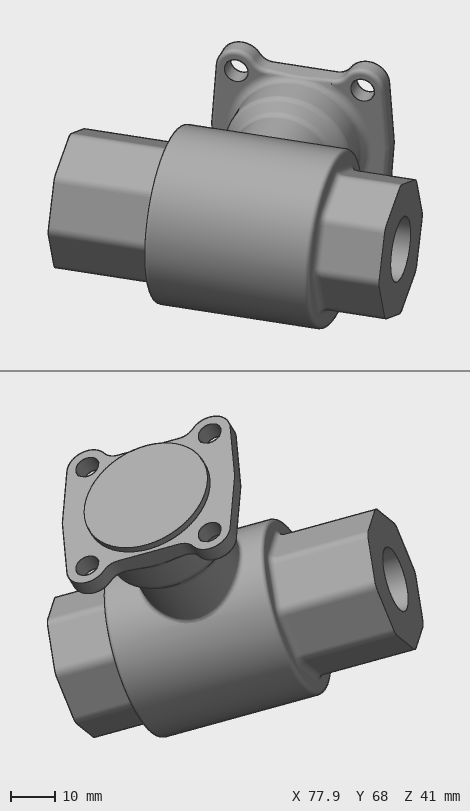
import cadquery as cq
import math


tolerance = 0.01

total_length = 77.9
left_end = -41.1
right_end = left_end + total_length
barrel_left = -17.4
barrel_right = 21.6
barrel_diameter = 41.0
barrel_edge_round = 1.0
bore_diameter = 15.0

octagon_sides = 8
octagon_across_flats = 30.7
octagon_corner_round = 6.0 / 2
octagon_root_fillet = 1.5

top_y = 47.5
stem_radius = 24.0 / 2
head_radius = 30.0 / 2
cone_top_y = 32.5
cone_bottom_y = cone_top_y - (head_radius - stem_radius)
stem_fillet = 2.0
stem_root_fillet = 1.0

flange_top_y = 45.95
flange_thickness = 4.5
flange_bottom_y = flange_top_y - flange_thickness
flange_edge_round = 1.0
bolt_offset = 14.9
bolt_hole_diameter = 5.5
lobe_radius = 5.0
notch_radius = 4.0
flat_z = 16.0
side_apex_x = 20.95


def barrel():
    """Central cylinder with rounded rims."""
    return (
        cq.Workplane("YZ", origin=(barrel_left, 0, 0))
        .circle(barrel_diameter / 2)
        .extrude(barrel_right - barrel_left)
        .edges("%CIRCLE")
        .fillet(barrel_edge_round)
    )


def octagon_end(start_x, end_x):
    """Octagonal prism with rounded corners, one corner pointing up."""
    across_corners = octagon_across_flats / math.cos(math.pi / octagon_sides)
    return (
        cq.Workplane("YZ", origin=(start_x, 0, 0))
        .polygon(octagon_sides, across_corners)
        .extrude(end_x - start_x)
        .edges("|X")
        .fillet(octagon_corner_round)
    )


def run_body():
    """Barrel with both octagonal ends, filleted where they meet."""
    body = barrel()
    body = body.union(octagon_end(left_end, barrel_left))
    body = body.union(octagon_end(barrel_right, right_end))
    rim_radius = barrel_diameter / 2 - barrel_edge_round

    def is_root_edge(edge):
        middle = edge.Center()
        on_barrel_face = min(abs(middle.x - barrel_left), abs(middle.x - barrel_right)) < tolerance
        is_rim = edge.geomType() == "CIRCLE" and abs(edge.radius() - rim_radius) < tolerance
        return on_barrel_face and not is_rim

    return body.edges().filter(is_root_edge).fillet(octagon_root_fillet)


def stem():
    """Stepped round stem with a 45 degree shoulder."""
    return (
        cq.Workplane("XY")
        .lineTo(stem_radius, 0)
        .lineTo(stem_radius, cone_bottom_y)
        .lineTo(head_radius, cone_top_y)
        .lineTo(head_radius, top_y)
        .lineTo(0, top_y)
        .close()
        .revolve(360, (0, 0, 0), (0, 1, 0))
        .faces("%CONE")
        .edges("%CIRCLE")
        .fillet(stem_fillet)
    )


def flange_prism(bottom_y):
    """Four-lobed outline from the flange top face down to bottom_y."""
    notch_z = flat_z + notch_radius
    centre_gap = lobe_radius + notch_radius
    notch_x = bolt_offset - math.sqrt(centre_gap**2 - (notch_z - bolt_offset) ** 2)
    notch_angle = math.atan2(notch_z - bolt_offset, notch_x - bolt_offset)

    apex_dx = side_apex_x - bolt_offset
    apex_distance = math.hypot(apex_dx, bolt_offset)
    side_angle = math.atan2(-bolt_offset, apex_dx) + math.acos(lobe_radius / apex_distance)

    def lobe_point(angle):
        return (
            bolt_offset + lobe_radius * math.cos(angle),
            bolt_offset + lobe_radius * math.sin(angle),
        )

    notch_start_angle = -math.pi / 2
    notch_end_angle = notch_angle - math.pi
    notch_middle_angle = (notch_start_angle + notch_end_angle) / 2
    notch_middle = (
        notch_x + notch_radius * math.cos(notch_middle_angle),
        notch_z + notch_radius * math.sin(notch_middle_angle),
    )
    quarter = (
        cq.Workplane("XZ", origin=(0, flange_top_y, 0))
        .lineTo(0, flat_z)
        .lineTo(notch_x, flat_z)
        .threePointArc(notch_middle, lobe_point(notch_angle))
        .threePointArc(lobe_point((notch_angle + side_angle) / 2), lobe_point(side_angle))
        .lineTo(side_apex_x, 0)
        .close()
        .extrude(flange_top_y - bottom_y)
    )
    half = quarter.union(quarter.mirror("YZ"))
    return half.union(half.mirror("XY")).clean()


def flange():
    """Lobed plate with a flared root, rounded along its outline on the barrel side."""
    flare_start_y = flange_bottom_y - stem_fillet
    flare_rim_radius = head_radius + stem_fillet
    arc_step = stem_fillet * (1 - math.sqrt(0.5))
    flare = (
        cq.Workplane("XY")
        .moveTo(0, flare_start_y)
        .lineTo(head_radius, flare_start_y)
        .threePointArc(
            (head_radius + arc_step, flange_bottom_y - arc_step),
            (flare_rim_radius, flange_bottom_y),
        )
        .lineTo(flare_rim_radius, flange_top_y)
        .lineTo(0, flange_top_y)
        .close()
        .revolve(360, (0, 0, 0), (0, 1, 0))
        .intersect(flange_prism(flare_start_y))
    )

    def is_outline_edge(edge):
        box = edge.BoundingBox()
        on_underside = flare_start_y + tolerance < box.ymin and box.ymax < flange_bottom_y + tolerance
        is_flare_rim = edge.geomType() == "CIRCLE" and abs(edge.radius() - flare_rim_radius) < tolerance
        return on_underside and not is_flare_rim

    plate = flange_prism(flange_bottom_y).union(flare).clean()
    return plate.edges().filter(is_outline_edge).fillet(flange_edge_round)


def bolt_holes():
    """Four pins that cut the bolt holes through the flange."""
    span = 2 * bolt_offset
    return (
        cq.Workplane("XZ", origin=(0, flange_top_y, 0))
        .rect(span, span, forConstruction=True)
        .vertices()
        .circle(bolt_hole_diameter / 2)
        .extrude(flange_thickness)
    )


def bore():
    """Straight passage through the whole length."""
    return cq.Workplane("YZ", origin=(left_end, 0, 0)).circle(bore_diameter / 2).extrude(total_length)


saddle_zone = cq.selectors.BoxSelector(
    (-stem_radius - tolerance, 0, -stem_radius - tolerance),
    (stem_radius + tolerance, barrel_diameter / 2 + tolerance, stem_radius + tolerance),
    boundingbox=True,
)
valve = run_body().union(stem())
valve = valve.edges(saddle_zone).fillet(stem_root_fillet)
valve = valve.union(flange()).cut(bolt_holes())
result = valve.cut(bore())